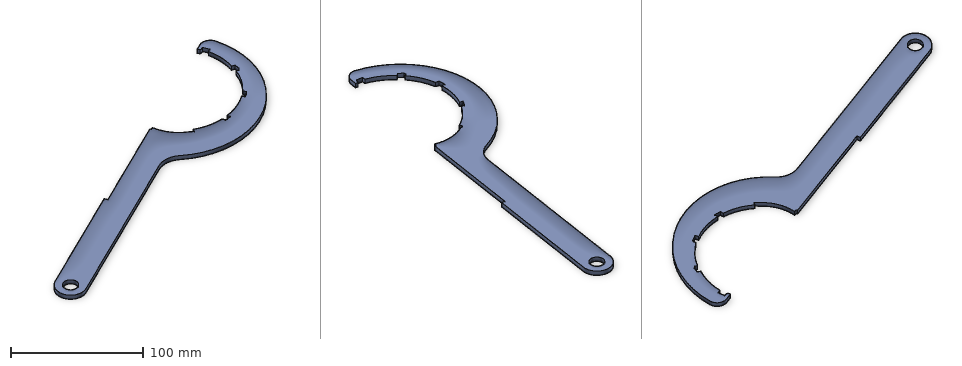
import cadquery as cq
import math


thickness = 4.0
overall_width = 75.79
overall_length = 323.89

handle_width = 25.0
handle_radius = handle_width / 2
hole_diameter = 12.0
neck_step = 3.0
neck_step_y = 105.3

handle_right = handle_radius
handle_left = -handle_radius
neck_left = handle_left + neck_step
hook_right = handle_left + overall_width
hook_top = overall_length - handle_radius

back_radius = 73.1
nose_radius = 8.5
armpit_radius = 18.5

heel_arc_radius = 36.0
main_arc_radius = 50.0

heel_arc_start = (-8.3, 197.7)
heel_arc_end = (19.2, 202.6)
lower_arc_start = (21.2, 206.5)
lower_arc_end = (37.5, 226.0)
middle_arc_start = (39.5, 231.1)
middle_arc_end = (41.5, 256.7)
upper_arc_start = (40.1, 263.1)
upper_arc_end = (26.8, 283.7)
tip_arc_start = (22.0, 287.4)
tip_arc_end = (-0.6, 297.7)

heel_lip_corners = [(neck_left, 195.5), (-8.3, 195.8)]
heel_notch_corners = [(23.1, 204.6)]
lower_notch_corners = [(40.4, 225.7), (42.4, 230.8)]
middle_notch_corners = [(44.4, 256.9), (43.4, 262.7)]
upper_notch_corners = [(28.7, 284.8), (28.0, 287.0), (24.0, 289.4)]
finger_recess_corners = [(-0.6, 300.6), (-6.3, 300.6), (-6.7, 298.6), (-7.2, 297.3)]
finger_end = (neck_left, 297.3)


def point_on_circle(centre, radius, toward):
    """Point of a circle that lies in the direction of another point."""
    dx = toward[0] - centre[0]
    dy = toward[1] - centre[1]
    reach = math.hypot(dx, dy)
    return (centre[0] + radius * dx / reach, centre[1] + radius * dy / reach)


nose_centre = (neck_left + nose_radius, hook_top - nose_radius)
back_centre_x = hook_right - back_radius
back_rise = math.sqrt((back_radius - nose_radius) ** 2 - (nose_centre[0] - back_centre_x) ** 2)
back_centre = (back_centre_x, nose_centre[1] - back_rise)
nose_end = point_on_circle(back_centre, back_radius, nose_centre)

armpit_x = handle_right + armpit_radius
armpit_drop = math.sqrt((back_radius + armpit_radius) ** 2 - (armpit_x - back_centre[0]) ** 2)
armpit_centre = (armpit_x, back_centre[1] - armpit_drop)
armpit_start = (handle_right, armpit_centre[1])
armpit_end = point_on_circle(back_centre, back_radius, armpit_centre)


def draw_jaw(outline):
    """Continue the outline along the jaw, from the neck to the end of the finger."""
    arcs = [
        (heel_lip_corners, heel_arc_start, heel_arc_end, heel_arc_radius),
        (heel_notch_corners, lower_arc_start, lower_arc_end, main_arc_radius),
        (lower_notch_corners, middle_arc_start, middle_arc_end, main_arc_radius),
        (middle_notch_corners, upper_arc_start, upper_arc_end, main_arc_radius),
        (upper_notch_corners, tip_arc_start, tip_arc_end, main_arc_radius),
    ]
    for corners, arc_start, arc_end, radius in arcs:
        for corner in corners:
            outline = outline.lineTo(*corner)
        outline = outline.lineTo(*arc_start).radiusArc(arc_end, -radius)
    for corner in finger_recess_corners:
        outline = outline.lineTo(*corner)
    return outline.lineTo(*finger_end)


def draw_back(outline):
    """Continue the outline round the nose and the back of the hook to the handle."""
    back_right = (hook_right, back_centre[1])
    return (
        outline.lineTo(neck_left, nose_centre[1])
        .radiusArc(nose_end, nose_radius)
        .threePointArc(back_right, armpit_end)
        .radiusArc(armpit_start, -armpit_radius)
    )


def make_plate():
    outline = (
        cq.Workplane("XY")
        .moveTo(handle_left, 0)
        .lineTo(handle_left, neck_step_y)
        .lineTo(neck_left, neck_step_y)
    )
    outline = draw_jaw(outline)
    outline = draw_back(outline)
    outline = outline.lineTo(handle_right, 0).threePointArc((0, -handle_radius), (handle_left, 0))
    return outline.close().extrude(thickness)


def drill_hanging_hole(plate):
    hole = cq.Workplane("XY").circle(hole_diameter / 2).extrude(thickness)
    return plate.cut(hole)


result = drill_hanging_hole(make_plate())